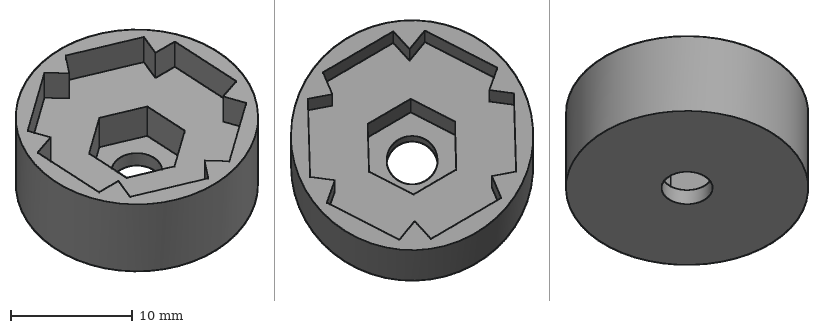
import cadquery as cq
import math

body_diameter = 20
body_height = 8
bore_diameter = 4.2

side_count = 6
pocket_across_flats = 17
pocket_flat_length = 6.8
tooth_tip_radius = 7.48
pocket_depth = 3

nut_across_flats = 7.2
nut_depth = 3.5


def polar_point(radius, angle):
    return (radius * math.cos(angle), radius * math.sin(angle))


def pocket_outline():
    """Flat ends and tooth tips, in order around the axis."""
    flat_end_radius = math.hypot(pocket_across_flats / 2, pocket_flat_length / 2)
    flat_half_angle = math.atan2(pocket_flat_length, pocket_across_flats)
    side_angle = 2 * math.pi / side_count
    points = []
    for side in range(side_count):
        tooth_angle = side * side_angle
        flat_angle = tooth_angle + side_angle / 2
        points.append(polar_point(tooth_tip_radius, tooth_angle))
        points.append(polar_point(flat_end_radius, flat_angle - flat_half_angle))
        points.append(polar_point(flat_end_radius, flat_angle + flat_half_angle))
    return points


body = cq.Workplane("XY").circle(body_diameter / 2).extrude(body_height)

pocket_floor = body_height - pocket_depth
pocket = (
    cq.Workplane("XY")
    .workplane(offset=pocket_floor)
    .polyline(pocket_outline())
    .close()
    .extrude(pocket_depth)
)

nut_across_corners = nut_across_flats / math.cos(math.pi / side_count)
nut_recess = (
    cq.Workplane("XY")
    .workplane(offset=pocket_floor - nut_depth)
    .polygon(side_count, nut_across_corners)
    .extrude(nut_depth)
)

bore = cq.Workplane("XY").circle(bore_diameter / 2).extrude(body_height)

result = body.cut(pocket).cut(nut_recess).cut(bore)